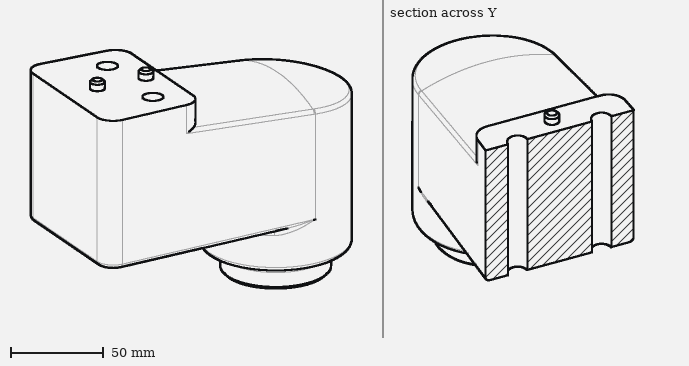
import cadquery as cq
import math


head_radius = 41.0
total_length = 171.1
max_width = 90.3
corner_radius = 10.0
front_y = head_radius - total_length

spigot_radius = 30.0
spigot_chamfer = 1.7
head_bottom_z = 15.0
body_bottom_z = 40.7
block_top_z = 127.3

edge_round = 2.5
head_blend = 4.5
spigot_blend = 5.0

roof_radius = 114.6
roof_crest_z = 114.0
roof_slope = 5.0
roof_length = 102.7

block_depth = 60.0
hole_diameter = 11.3
hole_spacing = 50.0
hole_y = -89.8
pin_diameter = 8.0
pin_height = 5.1
pin_chamfer = 1.4
pin_positions_y = (-80.0, -110.0)

corner_x = max_width / 2 - corner_radius
corner_y = front_y + corner_radius
center_distance = math.hypot(corner_x, corner_y)
wall_taper = math.acos((head_radius - corner_radius) / center_distance) + math.atan2(corner_y, corner_x)
tangent_x = head_radius * math.cos(wall_taper)
tangent_y = head_radius * math.sin(wall_taper)


def wall_x(y):
    """Half width between the tapered walls at a given y."""
    return tangent_x + (tangent_y - y) * math.tan(wall_taper)


def body_prism():
    """Full-height prism of the plan outline with rounded front corners."""
    return (
        cq.Workplane("XY").workplane(offset=body_bottom_z)
        .moveTo(wall_x(front_y), front_y)
        .lineTo(tangent_x, tangent_y)
        .threePointArc((0, head_radius), (-tangent_x, tangent_y))
        .lineTo(-wall_x(front_y), front_y)
        .close()
        .extrude(block_top_z - body_bottom_z)
        .edges("|Z and <Y").fillet(corner_radius)
    )


def roof_envelope():
    """Sloping cylinder closed by a tangent sphere over the head."""
    slope = math.radians(roof_slope)
    center = cq.Vector(
        0,
        tangent_y - roof_radius * math.sin(slope),
        roof_crest_z - roof_radius * math.cos(slope),
    )
    direction = cq.Vector(0, -math.cos(slope), math.sin(slope))
    barrel = cq.Solid.makeCylinder(roof_radius, roof_length, center, direction)
    dome = cq.Workplane("XY").sphere(roof_radius).translate(center.toTuple())
    return dome.union(cq.Workplane(obj=barrel))


def crowned_body():
    """Long body under the crowned roof, with its roof edge rounded."""
    crowned = body_prism().intersect(roof_envelope())
    return crowned.edges("%ELLIPSE or %BSPLINE").fillet(edge_round)


def block():
    """Flat-topped mounting block sharing the tapered walls of the body."""
    slab = cq.Workplane("XY").box(
        max_width, block_depth, block_top_z - body_bottom_z, centered=(True, False, False)
    ).translate((0, front_y, body_bottom_z))
    return body_prism().intersect(slab).edges("|Z and >Y").fillet(corner_radius)


def head_and_spigot():
    """Turned lower head with its spigot and the blend between them."""
    profile = (
        cq.Workplane("XZ")
        .lineTo(spigot_radius - spigot_chamfer, 0)
        .lineTo(spigot_radius, spigot_chamfer)
        .lineTo(spigot_radius, head_bottom_z - spigot_blend)
        .radiusArc((spigot_radius + spigot_blend, head_bottom_z), spigot_blend)
        .lineTo(head_radius - edge_round, head_bottom_z)
        .radiusArc((head_radius, head_bottom_z + edge_round), -edge_round)
        .lineTo(head_radius, body_bottom_z + edge_round)
        .lineTo(0, body_bottom_z + edge_round)
        .close()
    )
    return profile.revolve(360, (0, 0), (0, 1))


def pin(y):
    """Chamfered locating pin standing on the block."""
    return (
        cq.Workplane("XY", origin=(0, y, block_top_z))
        .circle(pin_diameter / 2)
        .extrude(pin_height)
        .faces(">Z").chamfer(pin_chamfer)
    )


result = crowned_body().union(block())
result = result.faces("<Z").edges().fillet(edge_round)
result = result.union(head_and_spigot())

underside_zone = cq.selectors.BoxSelector(
    (-max_width, -head_radius, body_bottom_z - edge_round),
    (max_width, tangent_y / 2, body_bottom_z + edge_round),
)
result = result.edges(underside_zone).edges("%CIRCLE or %BSPLINE").fillet(head_blend)

for pin_y in pin_positions_y:
    result = result.union(pin(pin_y))

mounting_holes = (
    cq.Workplane("XY").workplane(offset=body_bottom_z)
    .pushPoints([(-hole_spacing / 2, hole_y), (hole_spacing / 2, hole_y)])
    .circle(hole_diameter / 2)
    .extrude(block_top_z - body_bottom_z)
)
result = result.cut(mounting_holes)